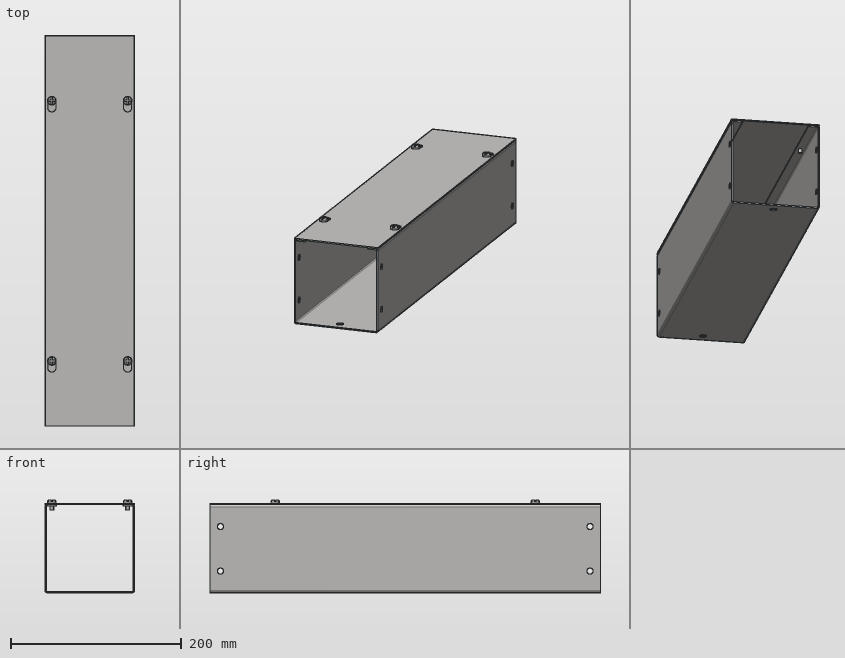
import cadquery as cq

length = 457.0
width = 104.5
body_height = 104.5
sheet = 1.55

bend_radius = 2.7
flange_width = 13.3
trough_height = body_height - sheet

wall_hole_diameter = 7.0
floor_hole_diameter = 8.2
wall_hole_inset = 12.5
floor_hole_inset = 13.3
wall_hole_spacing = 52.0

screw_spacing_x = 88.5
screw_spacing_y = 304.5
head_diameter = 10.0
head_height = 4.0
head_round = 2.5
shank_diameter = 4.5
shank_length = 8.0
drive_length = 8.5
drive_width = 2.0
drive_depth = 2.0

slot_width = 9.5
slot_travel = 8.2

end_signs = (-1, 1)
screw_points = [
    (sx * screw_spacing_x / 2, sy * screw_spacing_y / 2) for sx in end_signs for sy in end_signs
]


def make_trough():
    """Bent sheet channel with inward top flanges, holes for joining and for the screws."""
    inner_radius = bend_radius - sheet
    outer = cq.Workplane("XY").box(width, length, trough_height, centered=(True, True, False))
    outer = outer.edges("|Y").fillet(bend_radius)
    inner = cq.Workplane("XY").workplane(offset=sheet).box(
        width - 2 * sheet, length, trough_height - 2 * sheet, centered=(True, True, False)
    )
    inner = inner.edges("|Y").fillet(inner_radius)
    opening = cq.Workplane("XY").workplane(offset=trough_height / 2).box(
        width - 2 * flange_width, length, trough_height, centered=(True, True, False)
    )
    trough = outer.cut(inner).cut(opening)

    wall_hole_y = length / 2 - wall_hole_inset
    floor_hole_y = length / 2 - floor_hole_inset
    wall_points = [
        (sy * wall_hole_y, trough_height / 2 + sz * wall_hole_spacing / 2)
        for sy in end_signs
        for sz in end_signs
    ]
    wall_holes = (
        cq.Workplane("YZ")
        .pushPoints(wall_points)
        .circle(wall_hole_diameter / 2)
        .extrude(width / 2, both=True)
    )
    floor_holes = (
        cq.Workplane("XY")
        .pushPoints([(0, sy * floor_hole_y) for sy in end_signs])
        .circle(floor_hole_diameter / 2)
        .extrude(sheet)
    )
    screw_holes = (
        cq.Workplane("XY")
        .workplane(offset=trough_height - sheet)
        .pushPoints(screw_points)
        .circle(shank_diameter / 2)
        .extrude(sheet)
    )
    return trough.cut(wall_holes).cut(floor_holes).cut(screw_holes)


def make_cover():
    """Flat sheet with a round-ended slot running from every screw toward -Y."""
    base = cq.Workplane("XY").workplane(offset=trough_height)
    cover = base.box(width, length, sheet, centered=(True, True, False))
    slots = (
        base.pushPoints([(x, y - slot_travel / 2) for x, y in screw_points])
        .slot2D(slot_travel + slot_width, slot_width, 90)
        .extrude(sheet)
    )
    return cover.cut(slots)


def make_screw(x, y):
    """Round-head screw with a cross drive, its head resting on the cover."""
    base = cq.Workplane("XY").workplane(offset=body_height).center(x, y)
    head = base.circle(head_diameter / 2).extrude(head_height).faces(">Z").edges().fillet(head_round)
    shank = base.circle(shank_diameter / 2).extrude(-shank_length)
    top = cq.Workplane("XY").workplane(offset=body_height + head_height - drive_depth).center(x, y)
    slot_x = top.rect(drive_length, drive_width).extrude(drive_depth)
    slot_y = top.rect(drive_width, drive_length).extrude(drive_depth)
    return head.union(shank).cut(slot_x).cut(slot_y)


trough = make_trough()
cover = make_cover()
screws = [make_screw(x, y) for x, y in screw_points]

result = cq.Compound.makeCompound([trough.val(), cover.val(), *[screw.val() for screw in screws]])